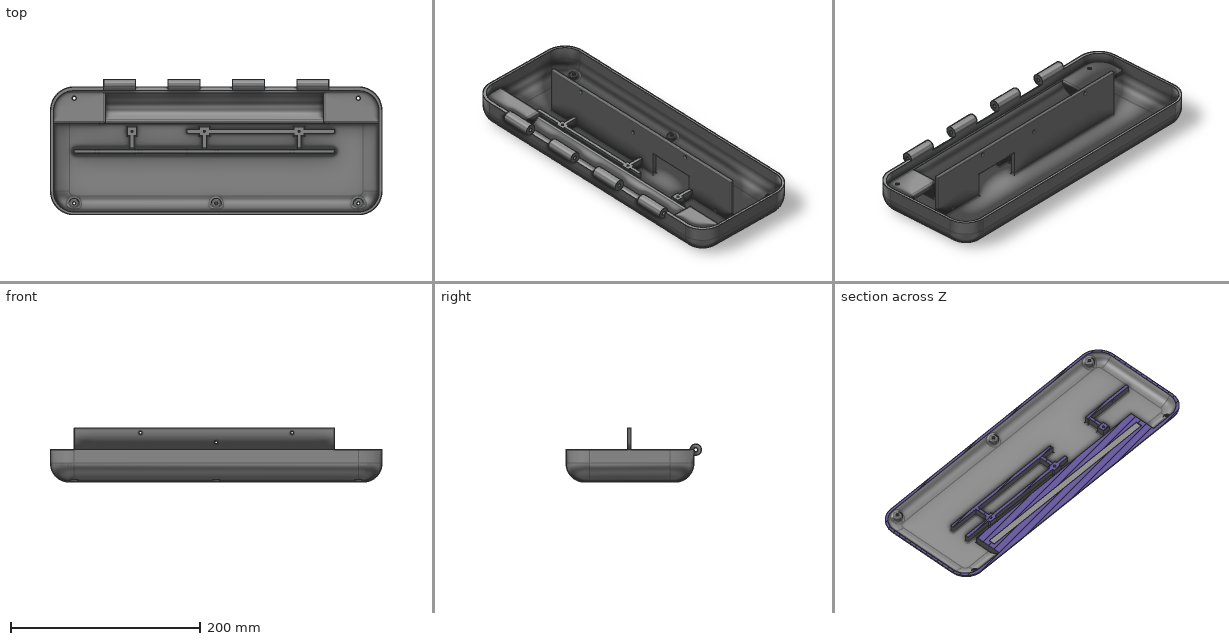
import cadquery as cq
import math

TRAY_LENGTH = 350.0
TRAY_WIDTH = 135.0
TRAY_HEIGHT = 34.3
CORNER_RADIUS = 25.0
BOTTOM_RADIUS = 20.0
WALL = 3.0
BACK_WALL = 4.0
FLOOR_Z = WALL
BACK_Y = TRAY_WIDTH / 2
INNER_BACK_Y = BACK_Y - BACK_WALL

KNUCKLE_COUNT = 4
KNUCKLE_LENGTH = 34.0
KNUCKLE_PITCH = 2 * KNUCKLE_LENGTH
KNUCKLE_RADIUS = 6.0
KNUCKLE_CLEARANCE = 0.5
HINGE_PIN_DIAMETER = 4.0
HINGE_OVERHANG = 2.0
HINGE_Y = BACK_Y + HINGE_OVERHANG
HINGE_Z = TRAY_HEIGHT

SCREW_X = 150.0
SCREW_Y = 55.5
SCREW_DIAMETER = 3.25
SHELF_HOLE_DIAMETER = 4.0
SCREW_HEAD_DIAMETER = 8.0
SCREW_HEAD_DEPTH = 3.0

BOSS_X = (-SCREW_X, 0.0, SCREW_X)
BOSS_DIAMETER = 10.6
BOSS_TOP_Z = 9.5
BOSS_TOP_ROUND = 1.5
BOSS_FOOT_ROUND = 2.5

SHELF_FRONT_Y = 29.0
SHELF_SLOPE_START_Y = 61.5
SHELF_Z = 23.5
SHELF_DROP = 0.5
SHELF_THICKNESS = 5.5
SHELF_ROUND = 2.0

BLOCK_CENTER_X = -2.0
BLOCK_LENGTH = 242.0
TROUGH_LENGTH = 230.0
TROUGH_RADIUS = 16.0
TROUGH_AXIS_Y = 45.5
TROUGH_AXIS_RISE = 3.3
TROUGH_AXIS_Z = SHELF_Z + TROUGH_AXIS_RISE
LIP_RADIUS = 2.2

RIB_THICKNESS = 4.0
RIB_EDGE_ROUND = 1.0
RIB_ROOT_Z = FLOOR_Z / 2
FOOT_ROUND = 1.0
PANEL_LEFT_X = -150.0
PANEL_RIGHT_X = 125.0
PANEL_Y = -0.7
PANEL_TOP_Z = 57.3
NOTCH_LEFT_X = -86.0
NOTCH_RIGHT_X = -31.0
NOTCH_TOP_Z = 30.7
PANEL_HOLE_DIAMETER = 3.0
PANEL_HOLES = [(-80.0, 52.0), (80.0, 52.0), (0.0, 42.0), (-126.0, 7.2)]
RIB_TOP_Z = 15.0
POST_ROW_Y = 20.5
POST_DEPTH = 9.0
POST_WIDTHS = {-89.0: 9.5, -12.5: 10.5, 87.5: 10.5}
POST_HOLE_DIAMETER = 2.0
POST_HOLE_DEPTH = 8.0

EDGE_SEARCH = 0.1


def box_between(x0, x1, y0, y1, z0, z1):
    """Axis-aligned box from its opposite corners."""
    return cq.Workplane("XY").box(x1 - x0, y1 - y0, z1 - z0, centered=False).translate((x0, y0, z0))


def upright_cylinder(x, y, z0, z1, diameter):
    return cq.Workplane("XY", origin=(x, y, z0)).circle(diameter / 2).extrude(z1 - z0)


def rounded_tub(x_half, y_front, y_back, z_bottom, corner_radius, bottom_radius):
    """Solid block up to the rim, with round corners and a round bottom edge."""
    block = box_between(-x_half, x_half, y_front, y_back, z_bottom, TRAY_HEIGHT)
    return block.edges("|Z").fillet(corner_radius).faces("<Z").edges().fillet(bottom_radius)


def outer_tub():
    return rounded_tub(TRAY_LENGTH / 2, -BACK_Y, BACK_Y, 0.0, CORNER_RADIUS, BOTTOM_RADIUS)


def cavity():
    return rounded_tub(
        TRAY_LENGTH / 2 - WALL,
        WALL - BACK_Y,
        INNER_BACK_Y,
        FLOOR_Z,
        CORNER_RADIUS - WALL,
        BOTTOM_RADIUS - WALL,
    )


def hinge_cylinder(x0, length, radius):
    return cq.Workplane("YZ", origin=(x0, HINGE_Y, HINGE_Z)).circle(radius).extrude(length)


def add_hinge(body):
    """Knuckles along the back rim, with clearance for the mating knuckles between them."""
    first_x = -(KNUCKLE_PITCH * (KNUCKLE_COUNT - 1) + KNUCKLE_LENGTH) / 2
    for i in range(KNUCKLE_COUNT - 1):
        gap_x = first_x + i * KNUCKLE_PITCH + KNUCKLE_LENGTH
        gap_length = KNUCKLE_PITCH - KNUCKLE_LENGTH
        body = body.cut(hinge_cylinder(gap_x, gap_length, KNUCKLE_RADIUS + KNUCKLE_CLEARANCE))
    for i in range(KNUCKLE_COUNT):
        body = body.union(hinge_cylinder(first_x + i * KNUCKLE_PITCH, KNUCKLE_LENGTH, KNUCKLE_RADIUS))
    return body.cut(hinge_cylinder(first_x, -2 * first_x, HINGE_PIN_DIAMETER / 2))


def trough_cutter():
    """Space above the trough: a concave arc that rolls over a rounded front lip."""
    reach = TROUGH_RADIUS + LIP_RADIUS
    lip_y = SHELF_FRONT_Y + LIP_RADIUS
    lip_angle = math.asin((TROUGH_AXIS_Y - lip_y) / reach)
    lip_z = TROUGH_AXIS_Z - reach * math.cos(lip_angle)

    def on_trough(angle):
        y = TROUGH_AXIS_Y + TROUGH_RADIUS * math.sin(angle)
        return (y, TROUGH_AXIS_Z - TROUGH_RADIUS * math.cos(angle))

    def on_lip(angle):
        return (lip_y + LIP_RADIUS * math.sin(angle), lip_z + LIP_RADIUS * math.cos(angle))

    profile = (
        cq.Workplane("YZ", origin=(BLOCK_CENTER_X - TROUGH_LENGTH / 2, 0, 0))
        .moveTo(SHELF_FRONT_Y, lip_z)
        .threePointArc(on_lip((lip_angle - math.pi / 2) / 2), on_trough(-lip_angle))
        .threePointArc(on_trough(0.0), on_trough(math.pi / 2))
        .lineTo(TROUGH_AXIS_Y + TROUGH_RADIUS, TRAY_HEIGHT)
        .lineTo(SHELF_FRONT_Y, TRAY_HEIGHT)
        .close()
    )
    return profile.extrude(TROUGH_LENGTH)


def shelf():
    """Slightly sloping back shelf on a solid block that holds the trough."""
    front_z = SHELF_Z - SHELF_DROP
    plate = (
        cq.Workplane("YZ", origin=(-TRAY_LENGTH / 2, 0, 0))
        .moveTo(SHELF_FRONT_Y, front_z - SHELF_THICKNESS)
        .lineTo(SHELF_FRONT_Y, front_z)
        .lineTo(SHELF_SLOPE_START_Y, SHELF_Z)
        .lineTo(BACK_Y, SHELF_Z)
        .lineTo(BACK_Y, front_z - SHELF_THICKNESS)
        .close()
        .extrude(TRAY_LENGTH)
    )
    block = box_between(
        BLOCK_CENTER_X - BLOCK_LENGTH / 2,
        BLOCK_CENTER_X + BLOCK_LENGTH / 2,
        SHELF_FRONT_Y,
        BACK_Y,
        0,
        front_z - SHELF_THICKNESS,
    )
    body = plate.union(block).cut(trough_cutter())
    front_edges = cq.selectors.BoxSelector(
        (-TRAY_LENGTH, SHELF_FRONT_Y - EDGE_SEARCH, front_z - EDGE_SEARCH),
        (TRAY_LENGTH, SHELF_FRONT_Y + EDGE_SEARCH, front_z + EDGE_SEARCH),
    )
    trough_end_edges = cq.selectors.BoxSelector(
        (BLOCK_CENTER_X - TROUGH_LENGTH / 2 - EDGE_SEARCH, SHELF_FRONT_Y, front_z),
        (BLOCK_CENTER_X + TROUGH_LENGTH / 2 + EDGE_SEARCH, INNER_BACK_Y, SHELF_Z - EDGE_SEARCH),
    )
    return body.edges(front_edges + trough_end_edges).fillet(SHELF_ROUND)


def panel():
    """Upright panel with rounded edges, round-mouthed screw holes and a notch at the floor."""
    half = RIB_THICKNESS / 2
    body = box_between(PANEL_LEFT_X, PANEL_RIGHT_X, PANEL_Y - half, PANEL_Y + half, RIB_ROOT_Z, PANEL_TOP_Z)
    for x, z in PANEL_HOLES:
        drill = cq.Workplane("XZ", origin=(x, PANEL_Y + half, z)).circle(PANEL_HOLE_DIAMETER / 2)
        body = body.cut(drill.extrude(RIB_THICKNESS))
    body = body.edges("%CIRCLE").fillet(RIB_EDGE_ROUND)
    body = body.edges("|Z or >Z").fillet(RIB_EDGE_ROUND)
    return body.cut(
        box_between(NOTCH_LEFT_X, NOTCH_RIGHT_X, PANEL_Y - half, PANEL_Y + half, RIB_ROOT_Z, NOTCH_TOP_Z)
    )


def ribs():
    """The panel plus a low rib parallel to it, with screw posts tied back to the panel."""
    half = RIB_THICKNESS / 2
    rib_y0 = POST_ROW_Y - half
    rib_y1 = POST_ROW_Y + half
    low_rib = box_between(NOTCH_RIGHT_X, PANEL_RIGHT_X, rib_y0, rib_y1, RIB_ROOT_Z, RIB_TOP_Z)
    body = panel().union(low_rib.edges("|Z").fillet(RIB_EDGE_ROUND))
    post_y0 = POST_ROW_Y - POST_DEPTH / 2
    post_y1 = POST_ROW_Y + POST_DEPTH / 2
    for x, width in POST_WIDTHS.items():
        tie = box_between(x - half, x + half, PANEL_Y, POST_ROW_Y, RIB_ROOT_Z, RIB_TOP_Z)
        post = box_between(x - width / 2, x + width / 2, post_y0, post_y1, RIB_ROOT_Z, RIB_TOP_Z)
        body = body.union(tie).union(post)
    return body


def round_feet(body):
    """Rounds the edges where the panel, ribs and trough block meet the flat floor."""
    foot_edges = cq.selectors.BoxSelector(
        (PANEL_LEFT_X - EDGE_SEARCH, PANEL_Y - RIB_THICKNESS, FLOOR_Z - EDGE_SEARCH),
        (PANEL_RIGHT_X + EDGE_SEARCH, SHELF_FRONT_Y + EDGE_SEARCH, FLOOR_Z + EDGE_SEARCH),
    )
    return body.edges(foot_edges).fillet(FOOT_ROUND)


def boss(x):
    """Screw boss with a rounded top edge, rising from the front floor curve."""
    column = upright_cylinder(x, -SCREW_Y, FLOOR_Z / 2, BOSS_TOP_Z, BOSS_DIAMETER)
    return column.faces(">Z").edges().fillet(BOSS_TOP_ROUND)


def add_bosses(body):
    """Adds the bosses and rounds the edge where each one meets the shell."""
    reach = BOSS_DIAMETER / 2 + EDGE_SEARCH
    for x in BOSS_X:
        body = body.union(boss(x).intersect(outer_tub()))
        around_boss = cq.selectors.BoxSelector(
            (x - reach, -SCREW_Y - reach, FLOOR_Z),
            (x + reach, -SCREW_Y + reach, BOSS_TOP_Z - EDGE_SEARCH),
        )
        body = body.edges(around_boss).edges("%BSPLINE").fillet(BOSS_FOOT_ROUND)
    return body


def cut_post_holes(body):
    for x in POST_WIDTHS:
        body = body.cut(
            upright_cylinder(x, POST_ROW_Y, RIB_TOP_Z - POST_HOLE_DEPTH, RIB_TOP_Z, POST_HOLE_DIAMETER)
        )
    return body


def cut_tray_screws(body):
    """Through holes in the four corners, a blind hole in the middle boss, and head recesses below."""
    for x in BOSS_X:
        body = body.cut(upright_cylinder(x, -SCREW_Y, 0, SCREW_HEAD_DEPTH, SCREW_HEAD_DIAMETER))
    for x in (-SCREW_X, SCREW_X):
        body = body.cut(upright_cylinder(x, SCREW_Y, 0, SCREW_HEAD_DEPTH, SCREW_HEAD_DIAMETER))
        body = body.cut(upright_cylinder(x, -SCREW_Y, 0, TRAY_HEIGHT, SCREW_DIAMETER))
        body = body.cut(upright_cylinder(x, SCREW_Y, 0, TRAY_HEIGHT, SHELF_HOLE_DIAMETER))
    blind_hole = upright_cylinder(0, -SCREW_Y, 0, TRAY_HEIGHT, SCREW_DIAMETER)
    return body.cut(blind_hole.intersect(cavity()))


tray = add_hinge(outer_tub().cut(cavity()))
tray = tray.union(shelf().intersect(outer_tub()))
tray = tray.union(ribs())
tray = round_feet(tray)
tray = add_bosses(tray)
tray = cut_post_holes(tray)
result = cut_tray_screws(tray)